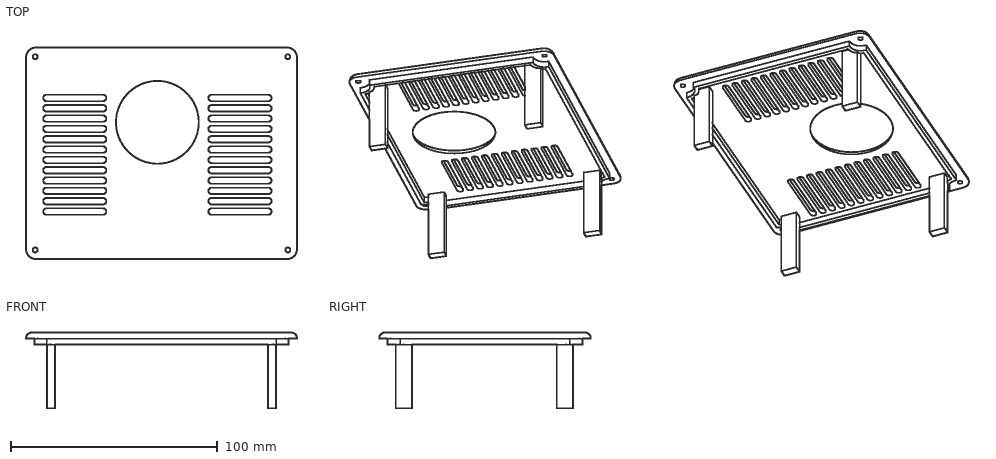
import cadquery as cq

LENGTH = 131.31
WIDTH = 102.58
TOTAL_HEIGHT = 36.77
PLATE_THICKNESS = 3.0
CORNER_RADIUS = 5.0
EDGE_ROUND = 2.99

OPENING_DIAMETER = 40.0
OPENING_CENTER = (-2.0, 15.0)

SLOT_LENGTH = 30.5
SLOT_WIDTH = 3.0
SLOT_PITCH = 5.0
SLOTS_PER_COLUMN = 12
SLOT_COLUMN_SPACING = 80.0
SLOT_COLUMNS_CENTER = (-2.0, -0.7)

SCREW_HOLE_DIAMETER = 2.3
SCREW_INSET = 4.5
SCREW_SPACING_X = LENGTH - 2 * SCREW_INSET
SCREW_SPACING_Y = WIDTH - 2 * SCREW_INSET

RIM_LENGTH = 123.0
RIM_WIDTH = 94.6
RIM_HEIGHT = 3.0
RIM_WALL = 2.0
SCALLOP_RADIUS = 5.7

LEG_SIZE_X = 4.0
LEG_SIZE_Y = 8.0
LEG_SPACING_X = 107.0
LEG_SPACING_Y = 78.0
LEG_CENTER = (0.0, -0.3)
LEG_LENGTH = TOTAL_HEIGHT - PLATE_THICKNESS


def make_plate():
    """Plate with rounded corners and a rounded upper edge."""
    plate = cq.Workplane("XY").rect(LENGTH, WIDTH).extrude(-PLATE_THICKNESS)
    plate = plate.edges("|Z").fillet(CORNER_RADIUS)
    return plate.faces(">Z").edges().fillet(EDGE_ROUND)


def cut_opening(plate):
    """Round opening whose upper edge is rounded over the plate thickness."""
    opening_radius = OPENING_DIAMETER / 2
    lip_radius = opening_radius + EDGE_ROUND
    cutter = (
        cq.Workplane("XZ")
        .moveTo(0, 0)
        .lineTo(lip_radius, 0)
        .radiusArc((opening_radius, -EDGE_ROUND), -EDGE_ROUND)
        .lineTo(opening_radius, -PLATE_THICKNESS)
        .lineTo(0, -PLATE_THICKNESS)
        .close()
        .revolve(360, (0, 0, 0), (0, 1, 0))
    )
    return plate.cut(cutter.translate((*OPENING_CENTER, 0)))


def cut_slots(plate):
    """Two columns of evenly spaced, round-ended slots."""
    slots = (
        cq.Workplane("XY")
        .center(*SLOT_COLUMNS_CENTER)
        .rarray(SLOT_COLUMN_SPACING, SLOT_PITCH, 2, SLOTS_PER_COLUMN)
        .slot2D(SLOT_LENGTH, SLOT_WIDTH)
        .extrude(-PLATE_THICKNESS)
    )
    return plate.cut(slots)


def cylinders_at_screws(diameter, depth):
    """One cylinder on each screw axis, from the top face down."""
    return (
        cq.Workplane("XY")
        .rarray(SCREW_SPACING_X, SCREW_SPACING_Y, 2, 2)
        .circle(diameter / 2)
        .extrude(-depth)
    )


def make_rim():
    """Thin wall under the plate that curves inward around each screw hole."""
    rim_bottom = PLATE_THICKNESS + RIM_HEIGHT
    base = cq.Workplane("XY").workplane(offset=-rim_bottom)
    outer = base.rect(RIM_LENGTH, RIM_WIDTH).extrude(RIM_HEIGHT)
    outer = outer.cut(cylinders_at_screws(2 * SCALLOP_RADIUS, rim_bottom))
    inner = base.rect(RIM_LENGTH - 2 * RIM_WALL, RIM_WIDTH - 2 * RIM_WALL).extrude(RIM_HEIGHT)
    inner = inner.cut(cylinders_at_screws(2 * (SCALLOP_RADIUS + RIM_WALL), rim_bottom))
    return outer.cut(inner)


def make_legs():
    """Four rectangular legs below the plate."""
    return (
        cq.Workplane("XY")
        .workplane(offset=-PLATE_THICKNESS)
        .center(*LEG_CENTER)
        .rarray(LEG_SPACING_X, LEG_SPACING_Y, 2, 2)
        .rect(LEG_SIZE_X, LEG_SIZE_Y)
        .extrude(-LEG_LENGTH)
    )


cover = cut_slots(cut_opening(make_plate()))
cover = cover.cut(cylinders_at_screws(SCREW_HOLE_DIAMETER, PLATE_THICKNESS))
result = cover.union(make_rim()).union(make_legs())